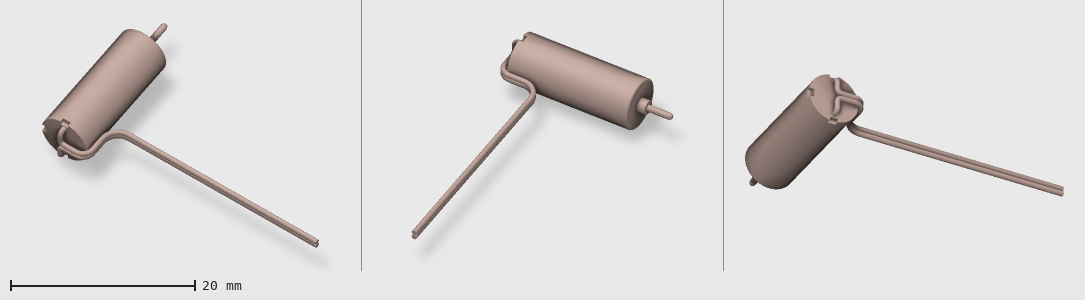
import cadquery as cq
import math

can_diameter = 6.0
can_radius = can_diameter / 2
motor_length = 15.0
front_edge_radius = 0.2

boss_diameter = 1.7
boss_length = 1.0
shaft_diameter = 0.8
shaft_length = 3.0
tip_chamfer_length = 0.3
tip_chamfer_depth = 0.15

cap_thickness = 0.5
notch_width = 1.0
rim_notches = ((90, 0.5), (180, 0.6), (270, 0.5))

wire_diameter = 0.6
wire_gap = 0.01
wire_pair_offset = (wire_diameter + wire_gap) / 2
wire_end_x = 30.5

exit_height = 2.1
exit_bend_radius = 0.55
rear_run_y = -0.8
gather_start_z = 0.86
gather_end_x = 0.97
side_run_x = 3.4
corner_bend_radius = 1.3
outward_run_y = 4.4
outward_bend_radius = 2.1


def cylinder_along_y(diameter, start_y, length):
    """Cylinder on the motor axis running toward +Y from start_y."""
    base = cq.Workplane("XZ", origin=(0, start_y, 0))
    return base.circle(diameter / 2).extrude(-length)


def make_can():
    can = cylinder_along_y(can_diameter, cap_thickness, motor_length - cap_thickness)
    return can.faces(">Y").edges().fillet(front_edge_radius)


def make_cap():
    cap = cylinder_along_y(can_diameter, 0, cap_thickness)
    for angle, depth in rim_notches:
        notch = cq.Workplane("XY").box(2 * depth, cap_thickness, notch_width)
        notch = notch.translate((can_radius, cap_thickness / 2, 0))
        cap = cap.cut(notch.rotate((0, 0, 0), (0, 1, 0), angle))
    return cap


def make_shaft():
    boss = cylinder_along_y(boss_diameter, motor_length, boss_length)
    shaft = cylinder_along_y(shaft_diameter, motor_length + boss_length, shaft_length)
    shaft = shaft.faces(">Y").edges().chamfer(tip_chamfer_length, tip_chamfer_depth)
    return boss.union(shaft)


def bend(start, corner, end):
    """Quarter-circle edge between two runs that would meet at a square corner."""
    center = start + end - corner
    middle = center + (corner - center) * math.sqrt(0.5)
    return cq.Edge.makeThreePointArc(start, middle, end)


def make_upper_wire():
    """Round wire swept along straight runs, bends and one gathering curve."""
    exit_start = cq.Vector(0, 0, exit_height)
    exit_corner = cq.Vector(0, rear_run_y, exit_height)
    exit_bend_start = exit_corner + cq.Vector(0, exit_bend_radius, 0)
    exit_bend_end = exit_corner - cq.Vector(0, 0, exit_bend_radius)

    gather_start = cq.Vector(0, rear_run_y, gather_start_z)
    gather_end = cq.Vector(gather_end_x, rear_run_y, wire_pair_offset)

    corner = cq.Vector(side_run_x, rear_run_y, wire_pair_offset)
    corner_start = corner - cq.Vector(corner_bend_radius, 0, 0)
    corner_end = corner + cq.Vector(0, corner_bend_radius, 0)

    outward_corner = cq.Vector(side_run_x, outward_run_y, wire_pair_offset)
    outward_start = outward_corner - cq.Vector(0, outward_bend_radius, 0)
    outward_end = outward_corner + cq.Vector(outward_bend_radius, 0, 0)
    wire_end = cq.Vector(wire_end_x, outward_run_y, wire_pair_offset)

    gather_curve = cq.Edge.makeSpline(
        [gather_start, gather_end],
        tangents=[cq.Vector(0, 0, -1), cq.Vector(1, 0, 0)],
    )

    centreline = cq.Wire.assembleEdges([
        cq.Edge.makeLine(exit_start, exit_bend_start),
        bend(exit_bend_start, exit_corner, exit_bend_end),
        cq.Edge.makeLine(exit_bend_end, gather_start),
        gather_curve,
        cq.Edge.makeLine(gather_end, corner_start),
        bend(corner_start, corner, corner_end),
        cq.Edge.makeLine(corner_end, outward_start),
        bend(outward_start, outward_corner, outward_end),
        cq.Edge.makeLine(outward_end, wire_end),
    ])
    profile = cq.Workplane("XZ", origin=exit_start.toTuple()).circle(wire_diameter / 2)
    return profile.sweep(centreline)


upper_wire = make_upper_wire()
lower_wire = upper_wire.mirror("XY")

result = make_can()
for feature in (make_cap(), make_shaft(), upper_wire, lower_wire):
    result = result.union(feature, clean=False)